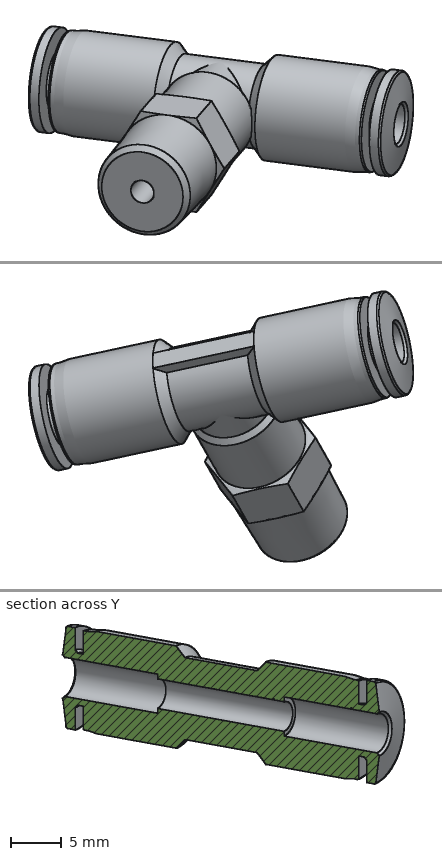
import cadquery as cq
import math


core_radius = 4.2
sleeve_radius = 5.25
sleeve_end_radius = 5.1
sleeve_end_chamfer_radius = 5.05
neck_radius = 2.7
neck_flare_radius = 2.95
collar_radius = 5.25
collar_rim_radius = 5.1

half_length = 18.65
core_half_length = 4.2
shoulder_x = core_half_length + sleeve_radius - core_radius
sleeve_taper_start = 14.58
sleeve_taper_end = 15.6
sleeve_chamfer_start = 16.05
sleeve_end = 16.22
neck_flare_start = 16.8
collar_inner_x = 17.1
collar_edge_x = 18.05
collar_rim_x = 18.25

run_bore_radius = 1.5
tube_bore_radius = 1.98
tube_mouth_radius = 2.25
tube_mouth_depth = 0.25
tube_stop_x = 7.45
stem_bore_radius = 1.2

stem_length = 24.5
stem_radius = 4.77
stem_shoulder_start = 3.73
stem_shoulder_end = stem_shoulder_start + stem_radius - core_radius
hex_start = 11.5
hex_length = 5.0
hex_end = hex_start + hex_length
hex_across_flats = 10.0
hex_corner_drop = 0.15
thread_root_radius = 5.0
thread_tip_chamfer = 0.55

web_thickness = 1.85


def run_half(side):
    """Solid of revolution about X for one end; side is 1 or -1."""
    profile = [
        (0, 0),
        (0, core_radius),
        (core_half_length, core_radius),
        (shoulder_x, sleeve_radius),
        (sleeve_taper_start, sleeve_radius),
        (sleeve_taper_end, sleeve_end_radius),
        (sleeve_chamfer_start, sleeve_end_radius),
        (sleeve_end, sleeve_end_chamfer_radius),
        (sleeve_end, neck_radius),
        (neck_flare_start, neck_radius),
        (collar_inner_x, neck_flare_radius),
        (collar_inner_x, collar_radius),
        (collar_edge_x, collar_radius),
        (collar_rim_x, collar_rim_radius),
        (half_length, tube_mouth_radius),
        (half_length, 0),
    ]
    points = [(side * x, radius) for x, radius in profile]
    return cq.Workplane("XY").polyline(points).close().revolve(360, (0, 0, 0), (1, 0, 0))


def tube_socket(side):
    """Cutter for the tube bore and its chamfered mouth at one end of the run."""
    mouth_x = half_length - tube_mouth_depth
    profile = [
        (tube_stop_x, 0),
        (tube_stop_x, tube_bore_radius),
        (mouth_x, tube_bore_radius),
        (half_length, tube_mouth_radius),
        (half_length, 0),
    ]
    points = [(side * x, radius) for x, radius in profile]
    return cq.Workplane("XY").polyline(points).close().revolve(360, (0, 0, 0), (1, 0, 0))


def revolve_about_stem(profile):
    """Revolve (radius, distance) points about the stem axis."""
    points = [(radius, -distance) for radius, distance in profile]
    return cq.Workplane("XY").polyline(points).close().revolve(360, (0, 0, 0), (0, 1, 0))


def stem():
    tip_start = stem_length - thread_tip_chamfer
    return revolve_about_stem([
        (0, stem_shoulder_start),
        (core_radius, stem_shoulder_start),
        (stem_radius, stem_shoulder_end),
        (stem_radius, hex_end),
        (thread_root_radius, hex_end),
        (stem_radius, tip_start),
        (stem_radius - thread_tip_chamfer, stem_length),
        (0, stem_length),
    ]) if False else revolve_about_stem([
        (0, stem_shoulder_start),
        (core_radius, stem_shoulder_start),
        (stem_radius, stem_shoulder_end),
        (stem_radius, hex_start),
        (stem_radius, hex_end),
        (thread_root_radius, hex_end),
        (stem_radius, tip_start),
        (stem_radius - thread_tip_chamfer, stem_length),
        (0, stem_length),
    ])


def branch_core():
    """Stem-side core, mitred to the run core where the equal cylinders meet."""
    return cq.Workplane("XZ").circle(core_radius).extrude(stem_shoulder_start)


def hexagon():
    """Wrench hexagon with flats facing +Z and -Z and its corners bevelled at both ends."""
    corner_diameter = hex_across_flats / math.cos(math.pi / 6)
    prism = (
        cq.Workplane("XZ", origin=(0, -hex_start, 0))
        .polygon(6, corner_diameter)
        .extrude(hex_length)
    )
    flat_radius = hex_across_flats / 2
    corner_radius = corner_diameter / 2
    bevel = revolve_about_stem([
        (0, hex_start),
        (flat_radius, hex_start),
        (corner_radius, hex_start + hex_corner_drop),
        (corner_radius, hex_end - hex_corner_drop),
        (flat_radius, hex_end),
        (0, hex_end),
    ])
    return prism.intersect(bevel)


def web():
    return cq.Workplane("XY").box(
        2 * shoulder_x, sleeve_radius, web_thickness, centered=(True, False, True)
    )


def stem_bore():
    return cq.Workplane("XZ").circle(stem_bore_radius).extrude(stem_length)


run_bore = cq.Workplane("YZ").circle(run_bore_radius).extrude(half_length, both=True)

body = run_half(1).union(run_half(-1)).union(branch_core())
body = body.union(stem()).union(hexagon()).union(web())
result = body.cut(run_bore).cut(stem_bore()).cut(tube_socket(1)).cut(tube_socket(-1))